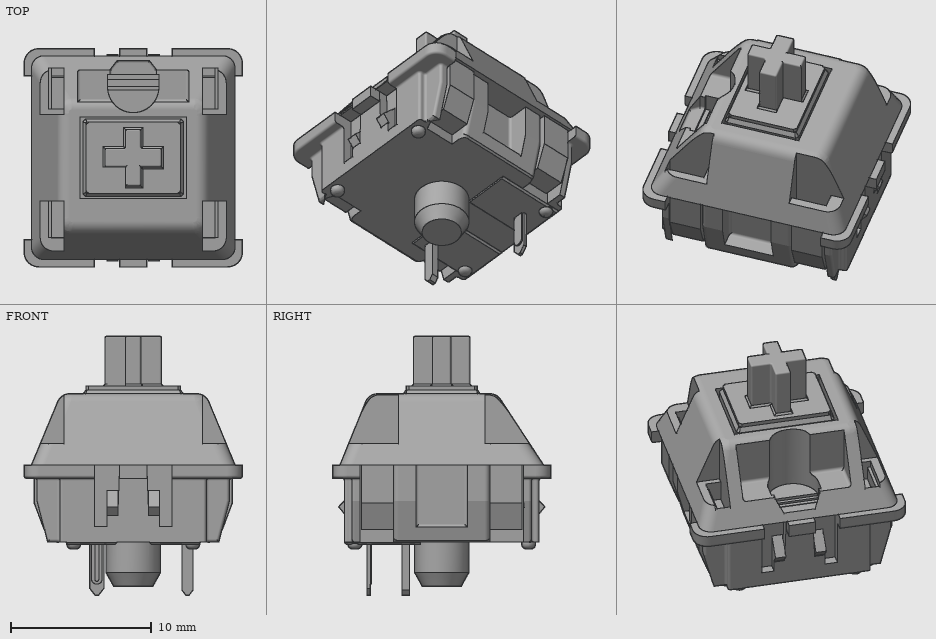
import cadquery as cq
import math

PIN_TIP_Z = -3.3
BODY_BOTTOM_Z = 0.5
FLANGE_BOTTOM_Z = 5.05
FLANGE_TOP_Z = 6.0
NOTCH_FLOOR_Z = 7.53
COVER_TOP_Z = 11.1
STEM_PLATE_TOP_Z = 11.65
STEM_TOP_Z = 15.2

FLANGE_HALF = 7.8
FLANGE_CORNER_R = 1.07
FLANGE_EDGE_R = 0.2
FLANGE_ROOT_R = 0.18
BRACKET_INNER_X = 2.78
BRACKET_INNER_Y = 5.84
TAB_HALF_WIDTH = 0.97

COVER_BASE_HALF = 7.28
COVER_TOP_HALF_X = 5.16
COVER_TOP_FRONT_Y = -5.2
COVER_TOP_BACK_Y = 3.93
COVER_CORNER_R = 1.05
COVER_TOP_R = 0.95
NOTCH_INNER_X = 4.95
NOTCH_INNER_Y = 3.1
NOTCH_PIT_OUTER_X = 6.05
NOTCH_PIT_BACK_Y = (3.49, 6.4)
NOTCH_PIT_FRONT_Y = (-5.7, -NOTCH_INNER_Y)
NOTCH_PIT_DEPTH = 1.5
NOTCH_LEDGE_INNER_X = 5.82
NOTCH_LEDGE_DEPTH = 0.5

LIGHT_POCKET_HALF_X = 3.97
LIGHT_POCKET_FRONT_Y = 3.97
LIGHT_WELL_R = 1.83
LIGHT_WELL_Y = 5.05
LIGHT_POCKET_FLOOR_R = 0.22
LIGHT_WELL_FLOOR_Z = 6.35
LIGHT_MOUTH_BACK_Y = 6.93
LIGHT_MOUTH_SIDE_Y = 6.3
LIGHT_MOUTH_HALF_BACK = 1.15
LIGHT_MOUTH_HALF_SIDE = 1.65
LIGHT_MOUTH_FLOOR_R = 0.17
LIGHT_WELL_BACK_Y = 5.93
LIGHT_GROOVES = ((4.85, LIGHT_WELL_BACK_Y, 0.2), (5.1, 5.6, 0.4))

STEM_HOLE_HALF_X = 3.81
STEM_HOLE_HALF_Y = 2.9
STEM_HOLE_DEPTH = 1.5
STEM_PLATE_HALF_X = 3.6
STEM_PLATE_HALF_Y = 2.77
STEM_PLATE_INSET = 0.22
STEM_PLATE_SLOPE_TOP_Z = 11.37
STEM_PLATE_SLOPE_BOTTOM_Z = 11.05
STEM_PLATE_CORNER = 0.2
STEM_REACH = 2.02
STEM_ARM_HALF_X = 0.55
STEM_ARM_HALF_Y = 0.66
STEM_FLARE = 0.13
STEM_FLARE_ANGLE = 45
STEM_TOP_R = 0.12
STEM_EDGE_R = 0.13

FRONT_HALF_X = 5.22
BODY_HALF_Y = 6.95
COLUMN_HALF_Y = 6.4
BODY_EDGE_R = 0.2
BODY_BOTTOM_CHAMFER = 0.12
SLOPE_TOP_Z = 3.4
SIDE_TOP_X = 6.86
SIDE_BOTTOM_X = 6.11
RECESS_X = 4.8
RECESS_INNER_Y = 3.43
PANEL_OUTER_Y = 5.72
PANEL_TOP_X = 7.08
PANEL_BOTTOM_X = 6.37
PANEL_SLOPE_TOP_Z = 3.3
PANEL_BOTTOM_Z = 1.4
BLOCK_EDGE_R = 0.35
WINDOW_HALF_Y = 1.825
WINDOW_BOTTOM_Z = 1.58
WINDOW_FLOOR_X = 5.25
WINDOW_FLOOR_R = 0.2

SLOT_BACK_Y = 6.26
SLOT_BOTTOM_Z = 1.61
TONGUE_ROOT_HALF = 1.1
CLIP_OUTER_X = 1.87
CLIP_ROOT_Y = 3.2
CLIP_TOP_Z = 4.2
CLIP_TIP_Y = 7.37
CLIP_TIP_Z = 3.02
CLIP_BOTTOM_Y = 6.85
CLIP_BOTTOM_Z = 2.4

FOOT_INNER_X = 1.16
FOOT_OUTER_X = 4.8
FOOT_BACK_Y = -1.53
FOOT_BOTTOM_Z = 0.33
FOOT_CHAMFER = 0.14
PIP_X = 4.25
PIP_Y = 6.2
PIP_R = 0.5
PIP_EDGE_R = 0.35
POST_R = 1.95
POST_TIP_R = 1.4
POST_CONE_Z = -1.67
POST_BOTTOM_Z = -2.66

PIN_TIP_HALF = 0.12
BLADE_X, BLADE_Y = -2.6, -5.22
BLADE_WIDTH, BLADE_THICKNESS = 1.03, 0.24
BLADE_BEAD_WIDTH = 0.77
BLADE_BEAD_HEIGHT = 0.1
BLADE_BEAD_END_Z = -2.5
BLADE_GROOVE_DEPTH = 0.12
BLADE_CHANNEL_WIDTH = 0.28
BLADE_CHANNEL_DEPTH = 0.2
BLADE_CHANNEL_END_Z = -2.3
BLADE_TAPER_Z = -2.8
LEG_X, LEG_Y = 3.87, -2.57
LEG_WIDTH, LEG_THICKNESS = 0.8, 0.54
LEG_TAPER_Z = -2.93

SIDES = (-1, 1)


def block(x_range, y_range, z_range):
    """Axis-aligned box between pairs of limits given in any order."""
    (x0, x1), (y0, y1), (z0, z1) = sorted(x_range), sorted(y_range), sorted(z_range)
    return cq.Workplane("XY").box(x1 - x0, y1 - y0, z1 - z0, centered=False).translate((x0, y0, z0))


def prism_y(points, y_range):
    """Extrude an XZ outline between two Y limits."""
    y0, y1 = sorted(y_range)
    return cq.Workplane("XZ", origin=(0, y1, 0)).polyline(points).close().extrude(y1 - y0)


def prism_x(points, x_range):
    """Extrude a YZ outline between two X limits."""
    x0, x1 = sorted(x_range)
    return cq.Workplane("YZ", origin=(x0, 0, 0)).polyline(points).close().extrude(x1 - x0)


def sloped_sides(top_x, bottom_x, slope_top_z, bottom_z, y_range):
    """Symmetric slab with upright upper sides that slope inwards below slope_top_z."""
    outline = [
        (-top_x, FLANGE_TOP_Z),
        (-top_x, slope_top_z),
        (-bottom_x, bottom_z),
        (bottom_x, bottom_z),
        (top_x, slope_top_z),
        (top_x, FLANGE_TOP_Z),
    ]
    return prism_y(outline, y_range)


def make_cover():
    """Tapered cover with rounded edges, corner notches and stem opening."""
    base_range = (-COVER_BASE_HALF, COVER_BASE_HALF)
    front_outline = [
        (-COVER_BASE_HALF, FLANGE_TOP_Z),
        (COVER_BASE_HALF, FLANGE_TOP_Z),
        (COVER_TOP_HALF_X, COVER_TOP_Z),
        (-COVER_TOP_HALF_X, COVER_TOP_Z),
    ]
    side_outline = [
        (-COVER_BASE_HALF, FLANGE_TOP_Z),
        (COVER_BASE_HALF, FLANGE_TOP_Z),
        (COVER_TOP_BACK_Y, COVER_TOP_Z),
        (COVER_TOP_FRONT_Y, COVER_TOP_Z),
    ]
    cover = prism_y(front_outline, base_range).intersect(prism_x(side_outline, base_range))
    cover = cover.edges("not #Z").fillet(COVER_CORNER_R)
    cover = cover.faces(">Z").edges().fillet(COVER_TOP_R)

    pit_z = (NOTCH_FLOOR_Z - NOTCH_PIT_DEPTH, NOTCH_FLOOR_Z)
    ledge_z = (NOTCH_FLOOR_Z - NOTCH_LEDGE_DEPTH, NOTCH_FLOOR_Z)
    for sx in SIDES:
        notch_x = (sx * NOTCH_INNER_X, sx * FLANGE_HALF)
        pit_x = (sx * NOTCH_INNER_X, sx * NOTCH_LEDGE_INNER_X)
        ledge_x = (sx * NOTCH_LEDGE_INNER_X, sx * NOTCH_PIT_OUTER_X)
        for sy in SIDES:
            notch_y = (sy * NOTCH_INNER_Y, sy * FLANGE_HALF)
            cover = cover.cut(block(notch_x, notch_y, (NOTCH_FLOOR_Z, COVER_TOP_Z)))
        for pit_y in (NOTCH_PIT_BACK_Y, NOTCH_PIT_FRONT_Y):
            cover = cover.cut(block(pit_x, pit_y, pit_z))
            cover = cover.cut(block(ledge_x, pit_y, ledge_z))

    hole_x = (-STEM_HOLE_HALF_X, STEM_HOLE_HALF_X)
    hole_y = (-STEM_HOLE_HALF_Y, STEM_HOLE_HALF_Y)
    return cover.cut(block(hole_x, hole_y, (COVER_TOP_Z - STEM_HOLE_DEPTH, COVER_TOP_Z)))


def make_light_recess():
    """Stepped recess in the back slope: wide pocket, round well and widening mouth."""
    pocket_x = (-LIGHT_POCKET_HALF_X, LIGHT_POCKET_HALF_X)
    pocket = block(pocket_x, (LIGHT_POCKET_FRONT_Y, FLANGE_HALF), (NOTCH_FLOOR_Z, COVER_TOP_Z))
    pocket = pocket.faces("<Z").edges("not >Y").fillet(LIGHT_POCKET_FLOOR_R)

    well_height = COVER_TOP_Z - LIGHT_WELL_FLOOR_Z
    well = (
        cq.Workplane("XY", origin=(0, 0, LIGHT_WELL_FLOOR_Z))
        .moveTo(-LIGHT_WELL_R, LIGHT_WELL_Y)
        .threePointArc((0, LIGHT_WELL_Y - LIGHT_WELL_R), (LIGHT_WELL_R, LIGHT_WELL_Y))
        .lineTo(LIGHT_WELL_R, LIGHT_WELL_BACK_Y)
        .lineTo(-LIGHT_WELL_R, LIGHT_WELL_BACK_Y)
        .close()
        .extrude(well_height)
    )
    mouth_outline = [
        (-LIGHT_MOUTH_HALF_SIDE, LIGHT_WELL_Y),
        (-LIGHT_MOUTH_HALF_SIDE, LIGHT_MOUTH_SIDE_Y),
        (-LIGHT_MOUTH_HALF_BACK, LIGHT_MOUTH_BACK_Y),
        (LIGHT_MOUTH_HALF_BACK, LIGHT_MOUTH_BACK_Y),
        (LIGHT_MOUTH_HALF_SIDE, LIGHT_MOUTH_SIDE_Y),
        (LIGHT_MOUTH_HALF_SIDE, LIGHT_WELL_Y),
    ]
    mouth = (
        cq.Workplane("XY", origin=(0, 0, LIGHT_WELL_FLOOR_Z))
        .polyline(mouth_outline).close()
        .extrude(well_height)
        .faces("<Z").edges("not <Y").fillet(LIGHT_MOUTH_FLOOR_R)
    )
    recess = pocket.union(well).union(mouth)

    groove_x = (-LIGHT_WELL_R, LIGHT_WELL_R)
    for front_y, back_y, depth in LIGHT_GROOVES:
        groove_z = (LIGHT_WELL_FLOOR_Z - depth, LIGHT_WELL_FLOOR_Z)
        recess = recess.union(block(groove_x, (front_y, back_y), groove_z))
    return recess


def make_flange():
    """Rounded square rim, open along the middle of the left and right sides."""
    flange = (
        cq.Workplane("XY", origin=(0, 0, FLANGE_BOTTOM_Z))
        .rect(2 * FLANGE_HALF, 2 * FLANGE_HALF)
        .extrude(FLANGE_TOP_Z - FLANGE_BOTTOM_Z)
        .edges("|Z").fillet(FLANGE_CORNER_R)
        .faces("<Z").edges().fillet(FLANGE_EDGE_R)
    )
    gap_y = (-BRACKET_INNER_Y, BRACKET_INNER_Y)
    gap_z = (FLANGE_BOTTOM_Z, FLANGE_TOP_Z)
    for side in SIDES:
        flange = flange.cut(block((side * RECESS_X, side * FLANGE_HALF), gap_y, gap_z))
    return flange


def make_side_window(side):
    """Pocket in the middle of one side wall, rounded at its floor."""
    window = block(
        (side * WINDOW_FLOOR_X, side * FLANGE_HALF),
        (-WINDOW_HALF_Y, WINDOW_HALF_Y),
        (WINDOW_BOTTOM_Z, FLANGE_TOP_Z),
    )
    floor_face = "<X" if side > 0 else ">X"
    return window.faces(floor_face).edges("not >Z").fillet(WINDOW_FLOOR_R)


def make_corner_columns():
    """Front and back walls joined to the sloping columns at the four corners."""
    full_z = (BODY_BOTTOM_Z, FLANGE_TOP_Z)
    mid_z = (BODY_BOTTOM_Z + FLANGE_TOP_Z) / 2
    columns = sloped_sides(
        SIDE_TOP_X, SIDE_BOTTOM_X, SLOPE_TOP_Z, BODY_BOTTOM_Z, (-COLUMN_HALF_Y, COLUMN_HALF_Y)
    )
    columns = columns.faces("<Y or >Y").edges("not >Z").fillet(BODY_EDGE_R)

    front = block((-FRONT_HALF_X, FRONT_HALF_X), (-BODY_HALF_Y, BODY_HALF_Y), full_z)
    columns = columns.union(front.edges("|Z").fillet(BODY_EDGE_R))
    for sx in SIDES:
        for sy in SIDES:
            valley_point = (sx * FRONT_HALF_X, sy * COLUMN_HALF_Y, mid_z)
            valley = cq.selectors.NearestToPointSelector(valley_point)
            columns = columns.edges("|Z").edges(valley).fillet(BODY_EDGE_R)

    recess_y = (-BRACKET_INNER_Y, BRACKET_INNER_Y)
    for side in SIDES:
        columns = columns.cut(block((side * RECESS_X, side * FLANGE_HALF), recess_y, full_z))
    return columns


def make_side_blocks():
    """Sloping middle block of each side wall, flanked by two prouder panels."""
    block_y = (-RECESS_INNER_Y, RECESS_INNER_Y)
    blocks = sloped_sides(SIDE_TOP_X, SIDE_BOTTOM_X, SLOPE_TOP_Z, BODY_BOTTOM_Z, block_y)
    blocks = blocks.faces("<Z").edges("|Y").chamfer(BODY_BOTTOM_CHAMFER)
    blocks = blocks.faces("<Y or >Y").edges("not (<Z or >Z)").fillet(BLOCK_EDGE_R)

    for side in SIDES:
        panel_y = (side * RECESS_INNER_Y, side * PANEL_OUTER_Y)
        panel = sloped_sides(PANEL_TOP_X, PANEL_BOTTOM_X, PANEL_SLOPE_TOP_Z, PANEL_BOTTOM_Z, panel_y)
        blocks = blocks.union(panel)
    return blocks


def make_body():
    """Body below the cover with its flange, side windows and centre tabs."""
    body = make_corner_columns().union(make_flange())
    for sy in SIDES:
        root_point = (0, sy * BODY_HALF_Y, FLANGE_BOTTOM_Z)
        root_edge = cq.selectors.NearestToPointSelector(root_point)
        body = body.edges("|X").edges(root_edge).fillet(FLANGE_ROOT_R)
    body = body.union(make_side_blocks())

    open_x = (-BRACKET_INNER_X, BRACKET_INNER_X)
    tab_x = (-TAB_HALF_WIDTH, TAB_HALF_WIDTH)
    for side in SIDES:
        body = body.cut(make_side_window(side))
        front_y = (side * BODY_HALF_Y, side * FLANGE_HALF)
        body = body.cut(block(open_x, front_y, (SLOPE_TOP_Z, FLANGE_TOP_Z)))
        body = body.union(block(tab_x, front_y, (FLANGE_BOTTOM_Z, FLANGE_TOP_Z)))
    return body


def make_snap_slot(sx, sy):
    """Slot beside the centre tongue, narrower below the clip."""
    outline = [
        (sx * BRACKET_INNER_X, FLANGE_TOP_Z),
        (sx * BRACKET_INNER_X, SLOT_BOTTOM_Z),
        (sx * CLIP_OUTER_X, SLOT_BOTTOM_Z),
        (sx * CLIP_OUTER_X, CLIP_BOTTOM_Z),
        (sx * TONGUE_ROOT_HALF, CLIP_BOTTOM_Z),
        (sx * TAB_HALF_WIDTH, FLANGE_TOP_Z),
    ]
    return prism_y(outline, (sy * SLOT_BACK_Y, sy * FLANGE_HALF))


def make_clip(sx, sy):
    """Wedge-shaped snap clip standing out of its slot."""
    outline = [
        (sy * CLIP_ROOT_Y, CLIP_TOP_Z),
        (sy * SLOT_BACK_Y, CLIP_TOP_Z),
        (sy * CLIP_TIP_Y, CLIP_TIP_Z),
        (sy * CLIP_BOTTOM_Y, CLIP_BOTTOM_Z),
        (sy * CLIP_ROOT_Y, CLIP_BOTTOM_Z),
    ]
    return prism_x(outline, (sx * TONGUE_ROOT_HALF, sx * CLIP_OUTER_X))


def stem_cross(base_z, height, grow=0.0, taper=0.0):
    """Cross-shaped bar; grow widens its outline on all sides."""
    reach = STEM_REACH + grow
    arm_x = STEM_ARM_HALF_X + grow
    arm_y = STEM_ARM_HALF_Y + grow
    outline = []
    for sx, sy in ((1, 1), (-1, 1), (-1, -1), (1, -1)):
        corner = [(sx * reach, sy * arm_y), (sx * arm_x, sy * arm_y), (sx * arm_x, sy * reach)]
        outline += corner if sx == sy else corner[::-1]
    base = cq.Workplane("XY", origin=(0, 0, base_z))
    return base.polyline(outline).close().extrude(height, taper=taper)


def make_stem():
    """Stem plate with sloping flanks, carrying the cross with a flared foot."""
    plate_bottom_z = COVER_TOP_Z - STEM_HOLE_DEPTH
    plate_height = STEM_PLATE_TOP_Z - plate_bottom_z
    slope_height = STEM_PLATE_SLOPE_TOP_Z - STEM_PLATE_SLOPE_BOTTOM_Z
    slope_angle = math.degrees(math.atan2(STEM_PLATE_INSET, slope_height))
    foot = (
        cq.Workplane("XY", origin=(0, 0, plate_bottom_z))
        .rect(2 * STEM_PLATE_HALF_X, 2 * STEM_PLATE_HALF_Y)
        .extrude(STEM_PLATE_SLOPE_BOTTOM_Z - plate_bottom_z)
        .edges("|Z").chamfer(STEM_PLATE_CORNER)
    )
    slope = foot.faces(">Z").wires().toPending().workplane().extrude(slope_height, taper=slope_angle)
    plate = (
        cq.Workplane("XY", origin=(0, 0, plate_bottom_z))
        .rect(2 * (STEM_PLATE_HALF_X - STEM_PLATE_INSET), 2 * (STEM_PLATE_HALF_Y - STEM_PLATE_INSET))
        .extrude(plate_height)
        .edges("|Z").chamfer(STEM_PLATE_CORNER)
    )
    plate = plate.union(slope)

    cross = stem_cross(STEM_PLATE_TOP_Z, STEM_TOP_Z - STEM_PLATE_TOP_Z)
    sharp_points = (
        (-STEM_ARM_HALF_X, -STEM_REACH, STEM_TOP_Z),
        (-STEM_ARM_HALF_X, -STEM_ARM_HALF_Y, STEM_TOP_Z),
        (STEM_ARM_HALF_X, -STEM_ARM_HALF_Y, STEM_TOP_Z),
    )
    rounded = cross.edges("|Z")
    for sharp_point in sharp_points:
        nearest = cq.selectors.NearestToPointSelector(sharp_point)
        sharp_edge = cross.edges("|Z").edges(nearest).val()
        rounded = rounded.filter(lambda edge, sharp=sharp_edge: not edge.isSame(sharp))
    cross = rounded.fillet(STEM_EDGE_R)
    cross = cross.faces(">Z").edges().fillet(STEM_TOP_R)
    flare = stem_cross(STEM_PLATE_TOP_Z, STEM_FLARE, grow=STEM_FLARE, taper=STEM_FLARE_ANGLE)
    plain_valley = block(
        (-FLANGE_HALF, -STEM_ARM_HALF_X),
        (-FLANGE_HALF, -STEM_ARM_HALF_Y),
        (STEM_PLATE_TOP_Z, STEM_TOP_Z),
    )
    return plate.union(cross).union(flare.cut(plain_valley))


def make_underside():
    """Support feet, locating pips and the central locating post."""
    post_outline = [
        (0, BODY_BOTTOM_Z),
        (POST_R, BODY_BOTTOM_Z),
        (POST_R, POST_CONE_Z),
        (POST_TIP_R, POST_BOTTOM_Z),
        (0, POST_BOTTOM_Z),
    ]
    underside = cq.Workplane("XZ").polyline(post_outline).close().revolve(360, (0, 0), (0, 1))

    pip = (
        cq.Workplane("XY")
        .circle(PIP_R)
        .extrude(BODY_BOTTOM_Z)
        .faces("<Z").edges().fillet(PIP_EDGE_R)
    )
    for sx in SIDES:
        foot = block(
            (sx * FOOT_INNER_X, sx * FOOT_OUTER_X),
            (-BODY_HALF_Y, FOOT_BACK_Y),
            (FOOT_BOTTOM_Z, BODY_BOTTOM_Z),
        )
        underside = underside.union(foot.faces("<Z").edges("not >Y").chamfer(FOOT_CHAMFER))
        for sy in SIDES:
            underside = underside.union(pip.translate((sx * PIP_X, sy * PIP_Y, 0)))
    return underside


def make_pin(x, y, width, thickness, taper_z):
    """Flat contact pin with a pointed tip."""
    half = width / 2
    outline = [
        (x - half, BODY_BOTTOM_Z),
        (x - half, taper_z),
        (x - PIN_TIP_HALF, PIN_TIP_Z),
        (x + PIN_TIP_HALF, PIN_TIP_Z),
        (x + half, taper_z),
        (x + half, BODY_BOTTOM_Z),
    ]
    return prism_y(outline, (y - thickness / 2, y + thickness / 2))


def round_ended_bar(width, end_z, front_y, depth):
    """Bar along the blade pin with a rounded lower end."""
    half = width / 2
    arc_z = end_z + half
    return (
        cq.Workplane("XZ", origin=(BLADE_X, front_y + depth, 0))
        .moveTo(-half, BODY_BOTTOM_Z)
        .lineTo(-half, arc_z)
        .threePointArc((0, end_z), (half, arc_z))
        .lineTo(half, BODY_BOTTOM_Z)
        .close()
        .extrude(depth)
    )


def make_blade_pin():
    """Thin pin stamped with a two-step groove on its front and a bead on its back."""
    front_y = BLADE_Y - BLADE_THICKNESS / 2
    back_y = BLADE_Y + BLADE_THICKNESS / 2
    pin = make_pin(BLADE_X, BLADE_Y, BLADE_WIDTH, BLADE_THICKNESS, BLADE_TAPER_Z)
    pin = pin.union(round_ended_bar(BLADE_BEAD_WIDTH, BLADE_BEAD_END_Z, back_y, BLADE_BEAD_HEIGHT))
    pin = pin.cut(round_ended_bar(BLADE_BEAD_WIDTH, BLADE_BEAD_END_Z, front_y, BLADE_GROOVE_DEPTH))
    return pin.cut(round_ended_bar(BLADE_CHANNEL_WIDTH, BLADE_CHANNEL_END_Z, front_y, BLADE_CHANNEL_DEPTH))


housing = make_body().union(make_cover().cut(make_light_recess()))
for slot_sx in SIDES:
    for slot_sy in SIDES:
        housing = housing.cut(make_snap_slot(slot_sx, slot_sy))
        housing = housing.union(make_clip(slot_sx, slot_sy))

result = housing.union(make_stem()).union(make_underside())
result = result.union(make_blade_pin())
result = result.union(make_pin(LEG_X, LEG_Y, LEG_WIDTH, LEG_THICKNESS, LEG_TAPER_Z))